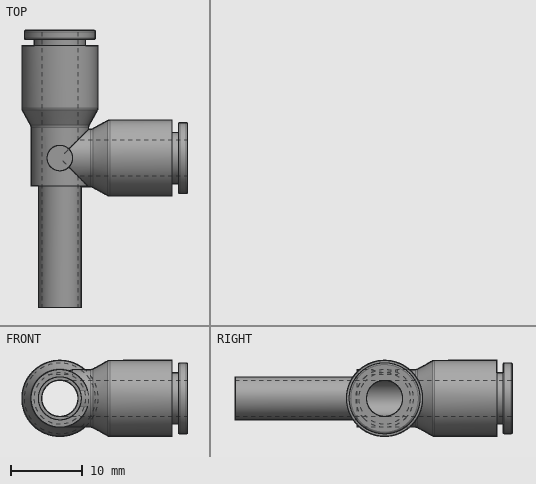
import cadquery as cq

TOTAL_LENGTH = 38.7
SOCKET_REACH = 17.85
SOCKET_RADIUS = 5.32
NECK_RADIUS = 4.02
BODY_END = 3.87
STEM_RADIUS = 3.0
BORE_RADIUS = 2.5

RING_THICKNESS = 1.3
COLLAR_FACE = 2.15
CONE_START = 11.03
CONE_END = 13.4

RING_RADIUS = 4.95
RING_NECK_RADIUS = 3.6
RING_EDGE_FILLET = 0.25
CONE_BLEND_RADIUS = 0.6

BADGE_RADIUS = 1.78
BADGE_DEPTH = 0.7

stem_length = TOTAL_LENGTH - SOCKET_REACH


def cylinder_y(radius, start, end):
    """Cylinder about the Y axis between two Y positions."""
    return cq.Workplane("XZ", origin=(0, start, 0)).circle(radius).extrude(start - end)


def make_socket():
    """Neck, flared collar and release ring along +Y, starting at the origin."""
    cone_end = SOCKET_REACH - CONE_END
    cone_start = SOCKET_REACH - CONE_START
    collar_face = SOCKET_REACH - COLLAR_FACE
    ring_back = SOCKET_REACH - RING_THICKNESS
    shell = (
        cq.Workplane("XY")
        .polyline([
            (0, 0),
            (NECK_RADIUS, 0),
            (NECK_RADIUS, cone_end),
            (SOCKET_RADIUS, cone_start),
            (SOCKET_RADIUS, collar_face),
            (0, collar_face),
        ])
        .close()
        .revolve(360, (0, 0, 0), (0, 1, 0))
    )
    cone_edges = cq.selectors.BoxSelector(
        (-SOCKET_RADIUS, cone_end - CONE_BLEND_RADIUS, -SOCKET_RADIUS),
        (SOCKET_RADIUS, cone_start + CONE_BLEND_RADIUS, SOCKET_RADIUS),
    )
    shell = shell.edges("%CIRCLE").edges(cone_edges).fillet(CONE_BLEND_RADIUS)
    ring_neck = cylinder_y(RING_NECK_RADIUS, collar_face, ring_back)
    ring = cylinder_y(RING_RADIUS, ring_back, SOCKET_REACH)
    ring = ring.edges("%CIRCLE").fillet(RING_EDGE_FILLET)
    return shell.union(ring_neck).union(ring)


main_socket = make_socket()
side_socket = make_socket().rotate((0, 0, 0), (0, 0, 1), -90)
body = cylinder_y(NECK_RADIUS, -BODY_END, 0)
stem = cylinder_y(STEM_RADIUS, -stem_length, 0)
fitting = main_socket.union(body).union(side_socket).union(stem)

main_bore = cylinder_y(BORE_RADIUS, -stem_length, SOCKET_REACH)
side_bore = cq.Workplane("YZ").circle(BORE_RADIUS).extrude(SOCKET_REACH)
fitting = fitting.cut(main_bore).cut(side_bore)

badge_recess = (
    cq.Workplane("XY", origin=(0, 0, NECK_RADIUS - BADGE_DEPTH))
    .circle(BADGE_RADIUS)
    .extrude(SOCKET_RADIUS)
)
result = fitting.cut(badge_recess)